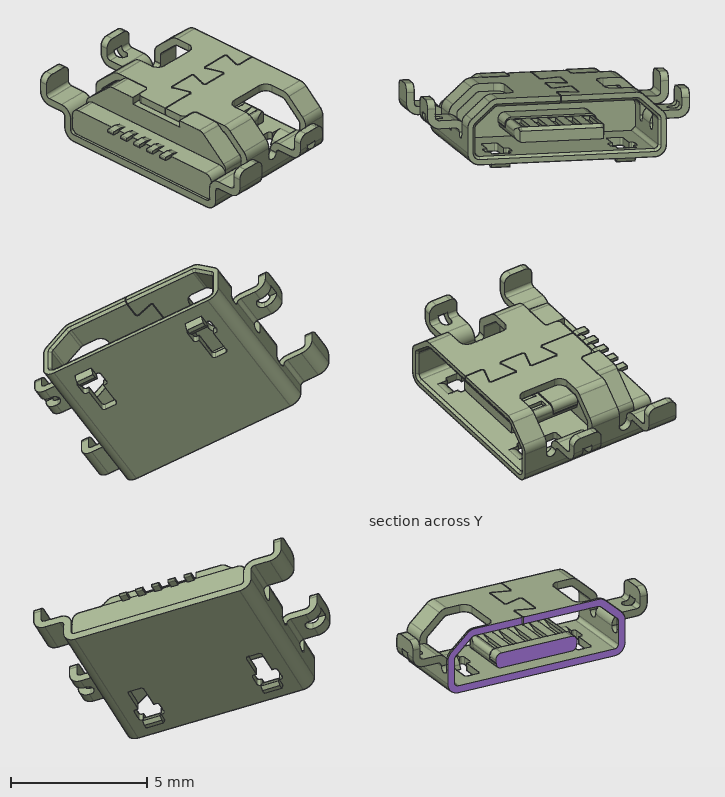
import cadquery as cq
import math


SHEET = 0.3
OUTER_BEND = 0.45
INNER_BEND = OUTER_BEND - SHEET
SHELL_LENGTH = 5.85
MOUTH_CHAMFER = 0.1
SHELL_HEIGHT = 2.45
SHELL_HALF_WIDTH = 3.75
SHOULDER_HEIGHT = 1.585
ROOF_HALF_WIDTH = 2.787
CAVITY_HALF_WIDTH = SHELL_HALF_WIDTH - SHEET
CAVITY_TOP = SHELL_HEIGHT - SHEET

TAB_HALF_SPAN = 4.95
TAB_WIDTH = 1.2
TAB_TOP = 2.2
TAB_CORNER = 0.3
FRONT_TAB_START = 0.0
FRONT_TAB_UNDERSIDE = 1.05
REAR_TAB_START = 3.3
REAR_TAB_UNDERSIDE = 1.15
TAB_SLOT_WIDTH = 0.4
TAB_SLOT_INNER_X = 4.24
TAB_SLOT_TOP = 1.65

ROOF_START = 1.7
ROOF_TONGUE_START = 1.12
ROOF_TONGUE_HALF_WIDTH = 1.15
ROOF_TONGUE_TIP_RADIUS = 0.2
ROOF_TONGUE_ROOT_RADIUS = 0.13
NOTCH_BOTTOM = 0.65
WINDOW_START = 2.9
WINDOW_END = 4.9
WINDOW_INNER_X = 1.74
WINDOW_CORNER = 0.33
WINDOW_BOTTOM = 0.81

SEAM_GAP = 0.03
SEAM_X = 0.214
SEAM_DEPTH = 0.807
SEAM_TAPER = 0.26
SEAM_TEETH_END_Y = (2.55, 4.35)
SEAM_TOOTH_NARROW = 0.72
SEAM_CORNER = 0.07

FINGER_X = 2.365
FINGER_WIDTH = 0.7
FINGER_DROP = 0.25
FINGER_BEVEL_DROP = 0.15
FINGER_TIP_SETBACK = 0.08
FINGER_FRONT_Y = 4.97
FINGER_BACK_Y = 5.34
FINGER_ROOT_Y = 5.42
FINGER_LEAN = 0.5
RELIEF_WIDE = 1.01
RELIEF_NARROW = 0.62
RELIEF_START = 3.4
RELIEF_STEP = 4.4
RELIEF_END = 5.0
RELIEF_CORNER = 0.1

STEP_START = 0.1
STEP_TOP = 1.36
STEP_CORNER = 0.3
BLOCK_START = 0.87
BLOCK_END = 2.2
BLOCK_TOP = 2.43
BLOCK_ROOF_HALF_WIDTH = 2.265
BLOCK_SHOULDER = 1.385
BLOCK_CORNER = 0.3
FLOOR_CHAMFER = INNER_BEND
POCKET_HALF_WIDTH = 1.16
TONGUE_HALF_WIDTH = 1.7
TONGUE_BOTTOM = 0.6
TONGUE_TOP = 1.15
TONGUE_END = 5.0
TONGUE_EDGE = 0.2
TONGUE_TIP_EDGE = 0.13
TONGUE_TAPER_LENGTH = 0.45
TONGUE_TAPER_INSET = 0.13
TONGUE_ROOT_HALF_WIDTH = 1.73
TONGUE_ROOT_BOTTOM = 0.84
TONGUE_ROOT_TOP = 1.216
TONGUE_ROOT_END = 3.27
TONGUE_ROOT_EDGE = 0.25
GROOVE_START = 3.4
GROOVE_RAMP_START = 4.3
GROOVE_END = 4.81
GROOVE_DEPTH = 0.15

CONTACT_COUNT = 5
CONTACT_PITCH = 0.645
CONTACT_WIDTH = 0.28
CONTACT_BOTTOM = 1.296
CONTACT_TOP = 1.43
CONTACT_TIP = -0.2
CONTACT_BEND = 0.21
CONTACT_END = 0.435
CONTACT_TIP_RADIUS = 0.04


def box(x0, x1, y0, y1, z0, z1):
    """Box between two opposite corners."""
    return cq.Workplane("XY").box(x1 - x0, y1 - y0, z1 - z0, centered=False).translate((x0, y0, z0))


def both_sides(solid):
    """The solid together with its mirror image across X = 0."""
    return solid.union(solid.mirror("YZ"))


def along_y(sketch, start, end):
    """Extrude an XZ outline from Y = start to Y = end."""
    return sketch.extrude(start - end).translate((0, start, 0))


def hexagon(half_width, bottom, shoulder, roof_half_width, top):
    """XZ outline with upright sides, sloping shoulders and a flat roof."""
    return cq.Workplane("XZ").polyline([
        (-half_width, bottom),
        (half_width, bottom),
        (half_width, shoulder),
        (roof_half_width, top),
        (-roof_half_width, top),
        (-half_width, shoulder),
    ]).close()


def make_tube():
    outer = along_y(
        hexagon(SHELL_HALF_WIDTH, 0, SHOULDER_HEIGHT, ROOF_HALF_WIDTH, SHELL_HEIGHT), 0, SHELL_LENGTH
    ).edges("|Y").fillet(OUTER_BEND)
    slope = math.atan2(SHELL_HEIGHT - SHOULDER_HEIGHT, SHELL_HALF_WIDTH - ROOF_HALF_WIDTH)
    inner_shoulder = SHOULDER_HEIGHT - SHEET * math.tan((math.pi / 2 - slope) / 2)
    inner_roof = ROOF_HALF_WIDTH - SHEET * math.tan(slope / 2)
    inner = along_y(
        hexagon(CAVITY_HALF_WIDTH, SHEET, inner_shoulder, inner_roof, CAVITY_TOP), 0, SHELL_LENGTH
    ).edges("|Y").fillet(INNER_BEND)
    tube = outer.cut(inner)
    mouth = tube.faces(">Y").val().innerWires()[0]
    return tube.newObject(mouth.Edges()).chamfer(MOUTH_CHAMFER)


def side_slot(y0, y1, bottom):
    """Slot through one side wall with a full-round bottom."""
    radius = (y1 - y0) / 2
    return (
        cq.Workplane("YZ")
        .moveTo(y0, SHELL_HEIGHT)
        .lineTo(y0, bottom + radius)
        .threePointArc(((y0 + y1) / 2, bottom), (y1, bottom + radius))
        .lineTo(y1, SHELL_HEIGHT)
        .close()
        .extrude(2 * SHEET)
        .translate((CAVITY_HALF_WIDTH - SHEET, 0, 0))
    )


def make_window():
    """Opening through roof, slope and side wall, with a relief slot beside each tab edge."""
    opening = box(
        WINDOW_INNER_X, SHELL_HALF_WIDTH, WINDOW_START, WINDOW_END,
        REAR_TAB_UNDERSIDE - INNER_BEND, SHELL_HEIGHT,
    ).edges("|Z and <X").fillet(WINDOW_CORNER)
    front_slot = side_slot(WINDOW_START, REAR_TAB_START, WINDOW_BOTTOM)
    rear_slot = side_slot(REAR_TAB_START + TAB_WIDTH, WINDOW_END, WINDOW_BOTTOM)
    return both_sides(opening.union(front_slot).union(rear_slot))


def make_front_cutaway():
    """Removes the shell over the solder end, leaving a tongue on the roof."""
    cutaway = box(
        -SHELL_HALF_WIDTH, SHELL_HALF_WIDTH, 0, ROOF_START,
        FRONT_TAB_UNDERSIDE - INNER_BEND, SHELL_HEIGHT,
    )
    tongue = box(
        -ROOF_TONGUE_HALF_WIDTH, ROOF_TONGUE_HALF_WIDTH, ROOF_TONGUE_START, ROOF_START,
        CAVITY_TOP, SHELL_HEIGHT,
    ).edges("|Z and <Y").fillet(ROOF_TONGUE_TIP_RADIUS)
    root = (
        cq.Workplane("XY")
        .moveTo(ROOF_TONGUE_HALF_WIDTH, ROOF_START)
        .lineTo(ROOF_TONGUE_HALF_WIDTH, ROOF_START - ROOF_TONGUE_ROOT_RADIUS)
        .radiusArc((ROOF_TONGUE_HALF_WIDTH + ROOF_TONGUE_ROOT_RADIUS, ROOF_START), ROOF_TONGUE_ROOT_RADIUS)
        .close()
        .extrude(SHEET)
        .translate((0, 0, CAVITY_TOP))
    )
    notch = both_sides(side_slot(FRONT_TAB_START + TAB_WIDTH, ROOF_START, NOTCH_BOTTOM))
    return cutaway.cut(tongue).cut(both_sides(root)).union(notch)


def make_tab(start, underside):
    """One Z-bent tab on the +X side: out from the wall, then upright."""
    wall_top = underside - INNER_BEND
    level_start = SHELL_HALF_WIDTH + INNER_BEND
    level_end = TAB_HALF_SPAN - OUTER_BEND
    upright_start = underside + OUTER_BEND
    upright_inner_x = TAB_HALF_SPAN - SHEET
    outline = (
        cq.Workplane("XZ")
        .moveTo(CAVITY_HALF_WIDTH, wall_top)
        .lineTo(SHELL_HALF_WIDTH, wall_top)
        .radiusArc((level_start, underside), INNER_BEND)
        .lineTo(level_end, underside)
        .radiusArc((TAB_HALF_SPAN, upright_start), -OUTER_BEND)
        .lineTo(TAB_HALF_SPAN, TAB_TOP)
        .lineTo(upright_inner_x, TAB_TOP)
        .lineTo(upright_inner_x, upright_start)
        .radiusArc((level_end, underside + SHEET), INNER_BEND)
        .lineTo(level_start, underside + SHEET)
        .radiusArc((CAVITY_HALF_WIDTH, wall_top), -OUTER_BEND)
        .close()
    )
    tab = along_y(outline, start, start + TAB_WIDTH)
    upright_corners = cq.selectors.BoxSelector(
        (upright_inner_x - SHEET, start - SHEET, TAB_TOP - SHEET / 2),
        (TAB_HALF_SPAN + SHEET, start + TAB_WIDTH + SHEET, TAB_TOP + SHEET / 2),
    )
    return tab.edges("|X").edges(upright_corners).fillet(TAB_CORNER)


def make_tab_slot():
    """Round-ended slot through the bend of a rear tab."""
    middle = REAR_TAB_START + TAB_WIDTH / 2
    half_width = TAB_SLOT_WIDTH / 2
    return (
        cq.Workplane("XY")
        .moveTo(TAB_HALF_SPAN, middle - half_width)
        .lineTo(TAB_SLOT_INNER_X + half_width, middle - half_width)
        .threePointArc((TAB_SLOT_INNER_X, middle), (TAB_SLOT_INNER_X + half_width, middle + half_width))
        .lineTo(TAB_HALF_SPAN, middle + half_width)
        .close()
        .extrude(TAB_SLOT_TOP - REAR_TAB_UNDERSIDE)
        .translate((0, 0, REAR_TAB_UNDERSIDE))
    )


def make_seam():
    """Thin dovetail gap that splits the roof sheet lengthwise."""
    left_x = SEAM_X - SEAM_DEPTH
    margin = 1.0
    far_left = -SHELL_HALF_WIDTH - margin
    points = [(far_left, -margin), (SEAM_X, -margin)]
    for y in SEAM_TEETH_END_Y:
        points += [
            (SEAM_X, y),
            (left_x, y - SEAM_TAPER),
            (left_x, y + SEAM_TOOTH_NARROW + SEAM_TAPER),
            (SEAM_X, y + SEAM_TOOTH_NARROW),
        ]
    points += [(SEAM_X, SHELL_LENGTH + margin), (far_left, SHELL_LENGTH + margin)]

    left_half = cq.Workplane("XY").polyline(points).close().extrude(SHEET).edges("|Z").fillet(SEAM_CORNER)
    grown_half = left_half.faces("<Z").wires().toPending().offset2D(SEAM_GAP, "intersection").extrude(SHEET)
    inside_shell = box(-SHELL_HALF_WIDTH, SHELL_HALF_WIDTH, 0, SHELL_LENGTH, 0, SHEET)
    return grown_half.cut(left_half).intersect(inside_shell).translate((0, 0, CAVITY_TOP))


def make_relief():
    """T-shaped floor opening around one spring finger."""
    narrow = box(
        FINGER_X - RELIEF_NARROW / 2, FINGER_X + RELIEF_NARROW / 2, RELIEF_START, RELIEF_END, 0, SHEET
    ).edges("|Z").fillet(RELIEF_CORNER)
    wide = box(
        FINGER_X - RELIEF_WIDE / 2, FINGER_X + RELIEF_WIDE / 2, RELIEF_STEP, RELIEF_END, 0, SHEET
    ).edges("|Z").fillet(RELIEF_CORNER)
    finger_bed = box(
        FINGER_X - FINGER_WIDTH / 2, FINGER_X + FINGER_WIDTH / 2, RELIEF_STEP, FINGER_ROOT_Y, 0, SHEET
    )
    return narrow.union(wide).union(finger_bed)


def make_finger():
    """Spring finger curving forward out of the floor and down below it."""
    bend_radius = ((FINGER_ROOT_Y - FINGER_FRONT_Y) ** 2 + SHEET**2) / (2 * SHEET)
    tip_front_z = -FINGER_BEVEL_DROP
    return (
        cq.Workplane("YZ")
        .moveTo(FINGER_ROOT_Y, SHEET)
        .radiusArc((FINGER_FRONT_Y, 0), -bend_radius)
        .lineTo(FINGER_FRONT_Y + tip_front_z * FINGER_LEAN, tip_front_z)
        .lineTo(FINGER_FRONT_Y + FINGER_TIP_SETBACK, -FINGER_DROP)
        .lineTo(FINGER_BACK_Y - FINGER_DROP * FINGER_LEAN, -FINGER_DROP)
        .lineTo(FINGER_BACK_Y, 0)
        .lineTo(FINGER_ROOT_Y, 0)
        .close()
        .extrude(FINGER_WIDTH)
        .translate((FINGER_X - FINGER_WIDTH / 2, 0, 0))
    )


def make_shell():
    shell = make_tube().cut(make_front_cutaway()).cut(make_window()).cut(make_seam())
    front_tab = make_tab(FRONT_TAB_START, FRONT_TAB_UNDERSIDE)
    rear_tab = make_tab(REAR_TAB_START, REAR_TAB_UNDERSIDE).cut(make_tab_slot())
    shell = shell.union(both_sides(front_tab)).union(both_sides(rear_tab))
    return shell.cut(both_sides(make_relief())).union(both_sides(make_finger()))


def contact_positions():
    """X of each contact, centred on the part."""
    return [(index - (CONTACT_COUNT - 1) / 2) * CONTACT_PITCH for index in range(CONTACT_COUNT)]


def make_contact_tongue():
    """Tongue inside the cavity, tapered at its tip and grooved on top for the contacts."""
    taper_x = TONGUE_HALF_WIDTH - TONGUE_TAPER_INSET
    taper_y = TONGUE_END - TONGUE_TAPER_LENGTH
    tongue = box(
        -TONGUE_HALF_WIDTH, TONGUE_HALF_WIDTH, BLOCK_START, TONGUE_END, TONGUE_BOTTOM, TONGUE_TOP
    )
    tongue = tongue.edges("|Y").fillet(TONGUE_EDGE)
    corner = cq.Workplane("XY").polyline([
        (TONGUE_HALF_WIDTH, taper_y),
        (TONGUE_HALF_WIDTH, TONGUE_END),
        (taper_x, TONGUE_END),
    ]).close().extrude(TONGUE_TOP)
    tongue = tongue.cut(both_sides(corner))
    tongue = tongue.faces(">Y").edges(">Z").chamfer(TONGUE_TIP_EDGE)
    root = box(
        -TONGUE_ROOT_HALF_WIDTH, TONGUE_ROOT_HALF_WIDTH, BLOCK_START, TONGUE_ROOT_END,
        TONGUE_ROOT_BOTTOM, TONGUE_ROOT_TOP,
    )
    tongue = tongue.union(root.edges("|Y and >Z").fillet(TONGUE_ROOT_EDGE))
    groove = cq.Workplane("YZ").polyline([
        (GROOVE_START, TONGUE_TOP),
        (GROOVE_START, TONGUE_TOP - GROOVE_DEPTH),
        (GROOVE_RAMP_START, TONGUE_TOP - GROOVE_DEPTH),
        (GROOVE_END, TONGUE_TOP),
    ]).close().extrude(CONTACT_WIDTH / 2, both=True)
    for x in contact_positions():
        tongue = tongue.cut(groove.translate((x, 0, 0)))
    return tongue


def make_insulator():
    step = box(-CAVITY_HALF_WIDTH, CAVITY_HALF_WIDTH, STEP_START, BLOCK_START, SHEET, STEP_TOP)
    step = step.edges("|Y and >Z").fillet(STEP_CORNER)
    step = step.edges("|Y and <Z").chamfer(FLOOR_CHAMFER)
    block = along_y(
        hexagon(CAVITY_HALF_WIDTH, SHEET, BLOCK_SHOULDER, BLOCK_ROOF_HALF_WIDTH, BLOCK_TOP),
        BLOCK_START, BLOCK_END,
    )
    block = block.edges("|Y and <Z").chamfer(FLOOR_CHAMFER)
    above_chamfer = cq.selectors.BoxSelector(
        (-SHELL_HALF_WIDTH, BLOCK_START, STEP_TOP), (SHELL_HALF_WIDTH, BLOCK_END, SHELL_HEIGHT)
    )
    block = block.edges("|Y").edges(above_chamfer).fillet(BLOCK_CORNER)
    under_roof = box(
        -CAVITY_HALF_WIDTH, CAVITY_HALF_WIDTH, ROOF_START, BLOCK_END, CAVITY_TOP, BLOCK_TOP
    )
    pocket = box(-POCKET_HALF_WIDTH, POCKET_HALF_WIDTH, BLOCK_START, ROOF_START, CAVITY_TOP, BLOCK_TOP)
    return block.cut(under_roof).cut(pocket).union(step).union(make_contact_tongue())


def make_contacts():
    """Row of solder tails lying on the insulator step, sinking into it at the back."""
    tail = (
        cq.Workplane("YZ")
        .polyline([
            (CONTACT_TIP, CONTACT_BOTTOM),
            (CONTACT_END, CONTACT_BOTTOM),
            (CONTACT_END, STEP_TOP),
            (CONTACT_BEND, CONTACT_TOP),
            (CONTACT_TIP, CONTACT_TOP),
        ])
        .close()
        .extrude(CONTACT_WIDTH / 2, both=True)
        .edges("|X and <Y")
        .fillet(CONTACT_TIP_RADIUS)
    )
    row = cq.Workplane("XY")
    for x in contact_positions():
        row.add(tail.translate((x, 0, 0)))
    return row.combine()


result = make_shell().union(make_insulator()).union(make_contacts())